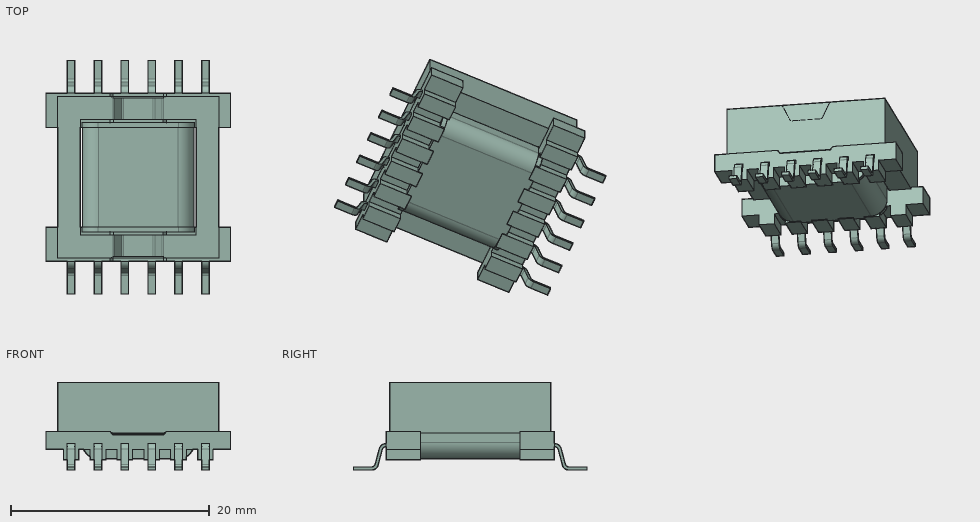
import cadquery as cq
import math

overall_length = 23.52
base_length_x = 18.63
overall_height = 8.82

core_bottom = 3.75
core_width = 16.0
tape_thickness = 0.12
window_width = 11.67

trough_depth = 1.7
trough_floor_width = 3.25
trough_top_width = 4.87
trough_fillet = 0.19

leg_width = 5.7
leg_bottom = 3.65
leg_drop = 0.19
leg_chamfer = 0.33

base_bottom = 2.1
base_top = 3.9
base_inner_y = 5.0
base_outer_y = 8.47
tooth_width = 1.58
tooth_bottom = 1.03

channel_floor = 3.55
channel_floor_width = 5.08
channel_top_width = leg_width

winding_width = 11.25
winding_bottom = 1.13
winding_top = 8.68
corner_radius = 1.62
flange_overhang = 0.05
flange_outer_y = 5.5

pin_count = 6
pin_pitch = 2.7
pin_width = 0.78
pin_thickness = 0.33
pin_top = 2.68
pin_lean = 15.0
pin_embed = 0.47
shoulder_radius = 0.73
foot_radius = 0.33

pin_positions = [(i - (pin_count - 1) / 2) * pin_pitch for i in range(pin_count)]


def block(size_x, size_y, bottom, top):
    """Box centred on the Z axis between two heights."""
    return cq.Workplane("XY").workplane(offset=bottom).rect(size_x, size_y).extrude(top - bottom)


def along_y(outline, half_length):
    """Extrude an outline drawn on XZ equally to both sides of Y = 0."""
    return outline.extrude(half_length, both=True)


def trapezoid(bottom_width, top_width, bottom, top):
    """Symmetric trapezoid on the XZ plane."""
    return cq.Workplane("XZ").polyline([
        (-bottom_width / 2, bottom),
        (bottom_width / 2, bottom),
        (top_width / 2, top),
        (-top_width / 2, top),
    ]).close()


def rounded_bar(overhang, half_length):
    """Bar along Y with four rounded edges, overhanging the winding at both sides and the top."""
    bar = block(
        winding_width + 2 * overhang,
        2 * half_length,
        winding_bottom,
        winding_top + overhang,
    )
    return bar.edges("|Y").fillet(corner_radius)


def make_coil():
    winding = rounded_bar(0, base_inner_y)
    inner_span = block(base_length_x, 2 * base_inner_y, 0, overall_height)
    flanges = rounded_bar(flange_overhang, flange_outer_y).cut(inner_span)
    return winding.union(flanges)


def make_base():
    base = block(base_length_x, 2 * base_outer_y, base_bottom, base_top)
    for x in pin_positions:
        tooth = block(tooth_width, 2 * base_outer_y, tooth_bottom, base_bottom)
        base = base.union(tooth.translate((x, 0, 0)))
    return base.cut(block(base_length_x, 2 * base_inner_y, 0, base_top))


def make_core():
    wrapped_width = core_width + 2 * tape_thickness
    core = block(wrapped_width, wrapped_width, core_bottom, overall_height)

    trough_floor = overall_height - trough_depth
    trough = along_y(
        trapezoid(trough_floor_width, trough_top_width, trough_floor, overall_height),
        core_width / 2,
    )
    core = core.cut(block(window_width, window_width, core_bottom, overall_height)).cut(trough)

    for x, z in ((trough_floor_width / 2, trough_floor), (trough_top_width / 2, overall_height)):
        reach = 0.02
        for side in (-1, 1):
            near = cq.selectors.BoxSelector(
                (side * x - reach, -core_width, z - reach),
                (side * x + reach, core_width, z + reach),
            )
            core = core.edges("|Y").edges(near).fillet(trough_fillet)

    leg = block(leg_width, window_width, leg_bottom, trough_floor - leg_drop)
    return core.union(leg.edges("|Y").chamfer(leg_chamfer))


def make_pin():
    """Pin on the +Y side at X = 0: a shoulder bend, a leaning shank and a flat foot."""
    lean = math.radians(pin_lean)
    shoulder_z = pin_top - shoulder_radius
    foot_z = pin_thickness + foot_radius
    bend_spacing = (
        shoulder_radius + foot_radius + (shoulder_z - foot_z) * math.sin(lean)
    ) / math.cos(lean)
    foot_y = base_outer_y + bend_spacing

    def on_shoulder(radius, degrees):
        angle = math.radians(degrees)
        return (base_outer_y + radius * math.cos(angle), shoulder_z + radius * math.sin(angle))

    def on_foot(radius, degrees):
        angle = math.radians(degrees)
        return (foot_y + radius * math.cos(angle), foot_z + radius * math.sin(angle))

    shoulder_inner = shoulder_radius - pin_thickness
    foot_outer = foot_radius + pin_thickness
    shoulder_middle = (90 + pin_lean) / 2
    foot_start = 180 + pin_lean
    foot_middle = (foot_start + 270) / 2

    outline = (
        cq.Workplane("YZ")
        .moveTo(base_outer_y - pin_embed, pin_top)
        .lineTo(*on_shoulder(shoulder_radius, 90))
        .threePointArc(on_shoulder(shoulder_radius, shoulder_middle), on_shoulder(shoulder_radius, pin_lean))
        .lineTo(*on_foot(foot_radius, foot_start))
        .threePointArc(on_foot(foot_radius, foot_middle), on_foot(foot_radius, 270))
        .lineTo(overall_length / 2, pin_thickness)
        .lineTo(overall_length / 2, 0)
        .lineTo(*on_foot(foot_outer, 270))
        .threePointArc(on_foot(foot_outer, foot_middle), on_foot(foot_outer, foot_start))
        .lineTo(*on_shoulder(shoulder_inner, pin_lean))
        .threePointArc(on_shoulder(shoulder_inner, shoulder_middle), on_shoulder(shoulder_inner, 90))
        .lineTo(base_outer_y - pin_embed, pin_top - pin_thickness)
        .close()
    )
    return outline.extrude(pin_width / 2, both=True)


channel = along_y(
    trapezoid(channel_floor_width, channel_top_width, channel_floor, base_top),
    base_outer_y,
)
result = make_base().union(make_coil()).cut(channel).union(make_core())

pin = make_pin()
for x in pin_positions:
    placed_pin = pin.translate((x, 0, 0))
    result = result.union(placed_pin).union(placed_pin.mirror("XZ"))